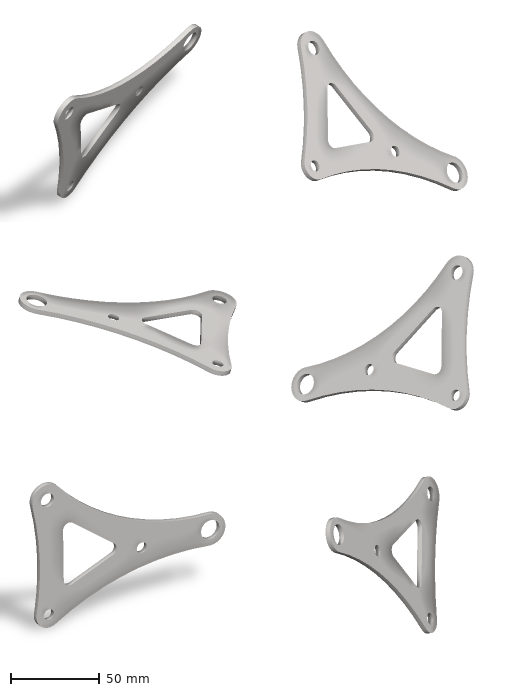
import cadquery as cq
import math


THICKNESS = 3.0

PIVOT = (0.0, 0.0)
UPPER = (107.0, 46.0)
LOWER = (106.0, -27.0)
PIVOT_RADIUS = 10.0
UPPER_RADIUS = 10.0
LOWER_RADIUS = 8.2

UPPER_EDGE_RADIUS = 132.0
LOWER_EDGE_RADIUS = 162.0
END_EDGE_RADIUS = 180.0

MIDDLE = (45.0, 0.0)
PIVOT_HOLE_DIAMETER = 12.0
UPPER_HOLE_DIAMETER = 8.4
SMALL_HOLE_DIAMETER = 6.5

WINDOW_UPPER_INSET = 5.0
WINDOW_LOWER_INSET = 8.0
WINDOW_END_INSET = 10.0
WINDOW_CORNER_RADIUS = 4.0


def toward(start, target, distance):
    """Point at the given distance from start on the way to target."""
    fraction = distance / math.dist(start, target)
    return tuple(s + (t - s) * fraction for s, t in zip(start, target))


def concave_edge(start, start_radius, end, end_radius, edge_radius):
    """Start, middle and end points of a concave arc tangent to two lobes.

    The arc centre lies on the left of the line from start to end.
    """
    span = math.dist(start, end)
    start_reach = edge_radius + start_radius
    end_reach = edge_radius + end_radius
    along = (start_reach**2 - end_reach**2 + span**2) / (2 * span)
    across = math.sqrt(start_reach**2 - along**2)
    direction = ((end[0] - start[0]) / span, (end[1] - start[1]) / span)
    centre = (
        start[0] + direction[0] * along - direction[1] * across,
        start[1] + direction[1] * along + direction[0] * across,
    )
    first = toward(start, centre, start_radius)
    last = toward(end, centre, end_radius)
    chord_middle = toward(first, last, math.dist(first, last) / 2)
    return first, toward(centre, chord_middle, edge_radius), last


def lobe_tip(centre, radius):
    """Point of a lobe's rim that faces directly away from the middle hole."""
    return toward(centre, MIDDLE, -radius)


def inset_line(start, end, inset):
    """Point and direction of the line start-to-end moved to its left by the inset."""
    span = math.dist(start, end)
    direction = ((end[0] - start[0]) / span, (end[1] - start[1]) / span)
    point = (start[0] - direction[1] * inset, start[1] + direction[0] * inset)
    return point, direction


def crossing(line_a, line_b):
    """Point where two lines meet."""
    (ax, ay), (adx, ady) = line_a
    (bx, by), (bdx, bdy) = line_b
    step = ((bx - ax) * bdy - (by - ay) * bdx) / (adx * bdy - ady * bdx)
    return ax + adx * step, ay + ady * step


def plan():
    """Workplane with local axes reach (-Y) and height (+Z), extruding toward -X."""
    return cq.Workplane(cq.Plane(origin=(0, 0, 0), xDir=(0, -1, 0), normal=(-1, 0, 0)))


def blank():
    """Plate outline: three lobes joined by concave tangent arcs, extruded."""
    upper = concave_edge(PIVOT, PIVOT_RADIUS, UPPER, UPPER_RADIUS, UPPER_EDGE_RADIUS)
    end = concave_edge(UPPER, UPPER_RADIUS, LOWER, LOWER_RADIUS, END_EDGE_RADIUS)
    lower = concave_edge(LOWER, LOWER_RADIUS, PIVOT, PIVOT_RADIUS, LOWER_EDGE_RADIUS)
    return (
        plan()
        .moveTo(*upper[0])
        .threePointArc(upper[1], upper[2])
        .threePointArc(lobe_tip(UPPER, UPPER_RADIUS), end[0])
        .threePointArc(end[1], end[2])
        .threePointArc(lobe_tip(LOWER, LOWER_RADIUS), lower[0])
        .threePointArc(lower[1], lower[2])
        .threePointArc(lobe_tip(PIVOT, PIVOT_RADIUS), upper[0])
        .close()
        .extrude(THICKNESS)
    )


def hole(centre, diameter):
    """Cutter for a round through hole."""
    return plan().center(*centre).circle(diameter / 2).extrude(THICKNESS)


def window():
    """Cutter for the triangular window with rounded corners."""
    lower_side = inset_line(MIDDLE, LOWER, WINDOW_LOWER_INSET)
    end_side = inset_line(LOWER, UPPER, WINDOW_END_INSET)
    upper_side = inset_line(UPPER, MIDDLE, WINDOW_UPPER_INSET)
    corners = [
        crossing(upper_side, lower_side),
        crossing(lower_side, end_side),
        crossing(end_side, upper_side),
    ]
    return plan().polyline(corners).close().extrude(THICKNESS).edges("|X").fillet(WINDOW_CORNER_RADIUS)


result = blank().cut(window())
for hole_centre, hole_diameter in (
    (PIVOT, PIVOT_HOLE_DIAMETER),
    (MIDDLE, SMALL_HOLE_DIAMETER),
    (UPPER, UPPER_HOLE_DIAMETER),
    (LOWER, SMALL_HOLE_DIAMETER),
):
    result = result.cut(hole(hole_centre, hole_diameter))